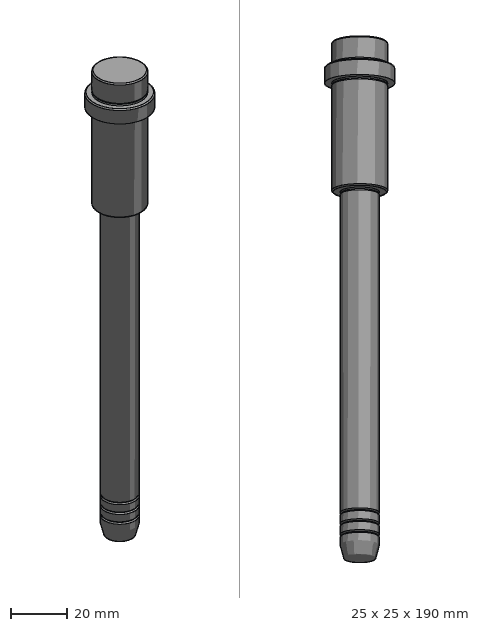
import cadquery as cq
import math

total_length = 190.0

shank_diameter = 14.0
body_diameter = 20.0
collar_diameter = 25.0

collar_top_depth = 9.0
collar_height = 6.0
body_end_depth = 55.0

edge_chamfer = 0.5

relief_width = 1.0
relief_depth = 0.25

taper_length = 5.0
taper_angle = 15.0
tip_radius = 0.5

groove_count = 3
groove_width = 1.0
groove_depth = 0.5
groove_pitch = 4.0
first_groove_z = 8.0

shank_radius = shank_diameter / 2
body_radius = body_diameter / 2
collar_radius = collar_diameter / 2
tip_end_radius = shank_radius - taper_length * math.tan(math.radians(taper_angle))
collar_top_z = total_length - collar_top_depth
collar_bottom_z = collar_top_z - collar_height
body_bottom_z = total_length - body_end_depth


def revolve_profile(points):
    """Revolve a closed (radius, height) outline about the Z axis, starting on the -X side."""
    outline = [(-radius, height) for radius, height in points]
    return cq.Workplane("XZ").polyline(outline).close().revolve(360, (0, 0), (0, 1))


def make_blank():
    """Stepped pin: tapered tip, shank, body, collar and head."""
    return revolve_profile([
        (0, 0),
        (tip_end_radius, 0),
        (shank_radius, taper_length),
        (shank_radius, body_bottom_z),
        (body_radius - edge_chamfer, body_bottom_z),
        (body_radius, body_bottom_z + edge_chamfer),
        (body_radius, collar_bottom_z),
        (collar_radius, collar_bottom_z),
        (collar_radius, collar_top_z - edge_chamfer),
        (collar_radius - edge_chamfer, collar_top_z),
        (body_radius, collar_top_z),
        (body_radius, total_length - edge_chamfer),
        (body_radius - edge_chamfer, total_length),
        (0, total_length),
    ])


def v_ring(surface_radius, bottom_z, width, depth):
    """Triangular ring that cuts a V groove into a cylinder of the given radius."""
    return revolve_profile([
        (surface_radius, bottom_z),
        (surface_radius - depth, bottom_z + width / 2),
        (surface_radius, bottom_z + width),
    ])


def cut_shank_grooves(part):
    """Cut the evenly spaced V grooves near the tip."""
    for index in range(groove_count):
        groove_z = first_groove_z + index * groove_pitch
        part = part.cut(v_ring(shank_radius, groove_z, groove_width, groove_depth))
    return part


def cut_corner_reliefs(part):
    """Cut the reliefs above the collar, below the collar and below the body."""
    reliefs = [
        (body_radius, collar_top_z),
        (body_radius, collar_bottom_z - relief_width),
        (shank_radius, body_bottom_z - relief_width),
    ]
    for surface_radius, relief_z in reliefs:
        part = part.cut(v_ring(surface_radius, relief_z, relief_width, relief_depth))
    return part


pin = make_blank().faces("<Z").edges().fillet(tip_radius)
pin = cut_shank_grooves(pin)
result = cut_corner_reliefs(pin)